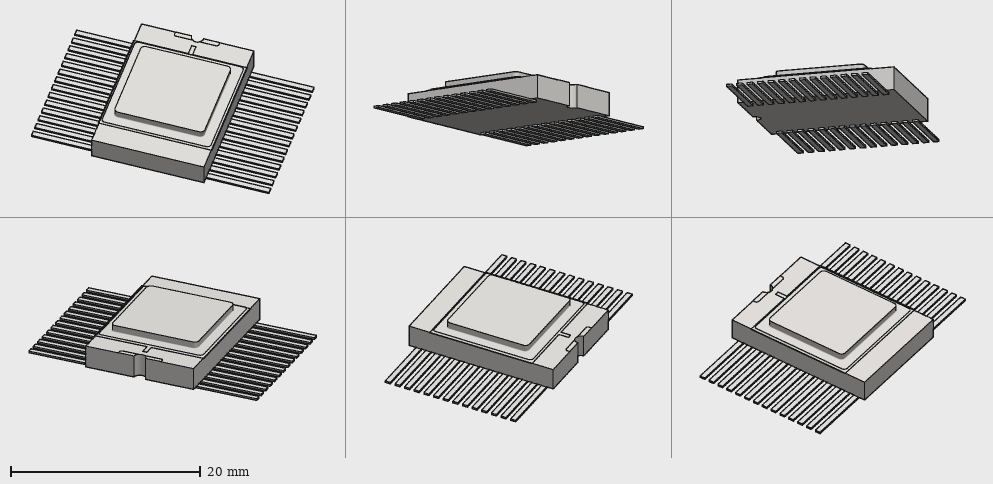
import cadquery as cq

BODY_X = 12.5
BODY_Y = 17.25
BODY_HEIGHT = 2.5
NOTCH_RADIUS = 0.65

LEAD_COUNT = 14
LEAD_ROW_LENGTH = 15.0
LEAD_WIDTH = 0.6
LEAD_THICKNESS = 0.2
LEAD_LENGTH = 7.9
LEAD_SPAN = 26.4

METAL_THICKNESS = 0.03
SEAL_X = 12.65
SEAL_Y = 12.25
STRIPE_WIDTH = 0.48
STRIPE_END_Y = 7.29
KEY_PAD_LENGTH = 4.95
KEY_PAD_DEPTH = 0.55
KEY_PAD_CORNER_RADIUS = 0.26

FLANGE_X = 12.1
FLANGE_Y = 11.88
FLANGE_THICKNESS = 0.15
FLANGE_CORNER_RADIUS = 0.4
CAP_X = 9.98
CAP_Y = 9.75
CAP_CORNER_RADIUS = 0.48
FOOT_RADIUS = 0.1
TOTAL_HEIGHT = 3.72

LEAD_PITCH = LEAD_ROW_LENGTH / (LEAD_COUNT - 1)
BODY_TOP = LEAD_THICKNESS + BODY_HEIGHT
FLANGE_BOTTOM = BODY_TOP + METAL_THICKNESS
FLANGE_TOP = FLANGE_BOTTOM + FLANGE_THICKNESS


def block(size_x, size_y, bottom, top, center_x=0, center_y=0):
    """Upright box between two heights."""
    return (
        cq.Workplane("XY", origin=(center_x, center_y, bottom))
        .rect(size_x, size_y)
        .extrude(top - bottom)
    )


def make_leads():
    """Two rows of flat leads, reaching from the tips to under the body."""
    row_center_x = (LEAD_SPAN - LEAD_LENGTH) / 2
    first_y = -LEAD_ROW_LENGTH / 2
    centers = [
        (side * row_center_x, first_y + index * LEAD_PITCH)
        for side in (-1, 1)
        for index in range(LEAD_COUNT)
    ]
    return (
        cq.Workplane("XY")
        .pushPoints(centers)
        .rect(LEAD_LENGTH, LEAD_WIDTH)
        .extrude(LEAD_THICKNESS)
    )


def fillet_foot(solid, size_x, size_y, height):
    """Fillet the edges around the foot of a raised plate that stands at the given height."""
    margin = FOOT_RADIUS / 2
    foot_edges = cq.selectors.BoxSelector(
        (-size_x / 2 - margin, -size_y / 2 - margin, height - margin),
        (size_x / 2 + margin, size_y / 2 + margin, height + margin),
    )
    return solid.edges(foot_edges).fillet(FOOT_RADIUS)


def make_metallization():
    """Stripe that runs out from under the lid, and the pad around the notch."""
    stripe = block(
        STRIPE_WIDTH, STRIPE_END_Y, BODY_TOP, FLANGE_BOTTOM, center_y=STRIPE_END_Y / 2
    )
    key_pad = block(
        KEY_PAD_LENGTH,
        KEY_PAD_DEPTH,
        BODY_TOP,
        FLANGE_BOTTOM,
        center_y=(BODY_Y - KEY_PAD_DEPTH) / 2,
    )
    key_pad = key_pad.edges("|Z and <Y").fillet(KEY_PAD_CORNER_RADIUS)
    return stripe.union(key_pad)


def make_lid():
    """Seal area carrying the flange and the cap, with a fillet around the foot of each."""
    flange = block(FLANGE_X, FLANGE_Y, FLANGE_BOTTOM, FLANGE_TOP)
    flange = flange.edges("|Z").fillet(FLANGE_CORNER_RADIUS)
    cap = block(CAP_X, CAP_Y, FLANGE_TOP, TOTAL_HEIGHT)
    cap = cap.edges("|Z").fillet(CAP_CORNER_RADIUS)
    lid = fillet_foot(flange.union(cap), CAP_X, CAP_Y, FLANGE_TOP)
    seal_and_lid = block(SEAL_X, SEAL_Y, BODY_TOP, FLANGE_BOTTOM).union(lid)
    return fillet_foot(seal_and_lid, FLANGE_X, FLANGE_Y, FLANGE_BOTTOM)


body = block(BODY_X, BODY_Y, LEAD_THICKNESS, BODY_TOP)
notch = (
    cq.Workplane("XY")
    .center(0, BODY_Y / 2)
    .circle(NOTCH_RADIUS)
    .extrude(TOTAL_HEIGHT)
)
result = body.union(make_metallization()).cut(notch).union(make_leads()).union(make_lid())